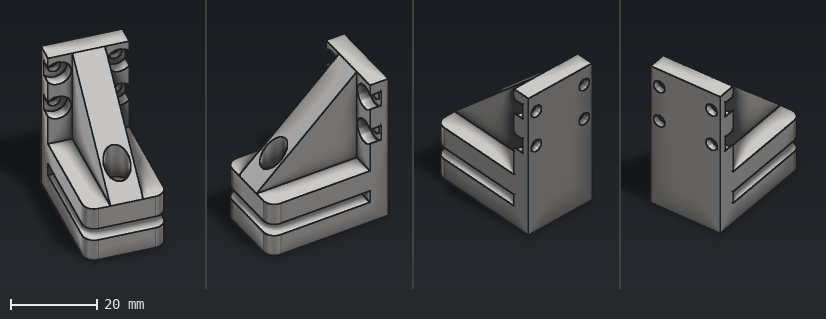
import cadquery as cq

length = 32.0
width = 20.0
height = 40.0

plate_thickness = 5.0
shelf_height = 15.0
slot_height = 3.3
arm_thickness = (shelf_height - slot_height) / 2
corner_radius = 3.0
rib_width = 8.0

clearance_diameter = 3.2
head_diameter = 6.4
thread_diameter = 2.5
head_depth = 3.0
plate_hole_spacing_y = 15.0
plate_hole_spacing_z = 10.0
plate_hole_center_z = 30.0
clamp_screw_x = 25.0


def block(x_start, x_end, block_width, z_start, z_end):
    """Box centred on the XZ plane, given by its X and Z limits."""
    return (
        cq.Workplane("XY", origin=((x_start + x_end) / 2, 0, z_start))
        .rect(x_end - x_start, block_width)
        .extrude(z_end - z_start)
    )


def plate_cutter(diameter, x_start):
    """Four cylinders from x_start to the inner face of the back plate."""
    return (
        cq.Workplane("YZ", origin=(x_start, 0, plate_hole_center_z))
        .rarray(plate_hole_spacing_y, plate_hole_spacing_z, 2, 2)
        .circle(diameter / 2)
        .extrude(plate_thickness - x_start)
    )


def clamp_cutter(diameter, z_start, z_end):
    """Vertical cylinder on the clamping screw axis."""
    return (
        cq.Workplane("XY", origin=(clamp_screw_x, 0, z_start))
        .circle(diameter / 2)
        .extrude(z_end - z_start)
    )


plate = block(0, plate_thickness, width, 0, height)
plate = plate.cut(plate_cutter(clearance_diameter, 0))
plate = plate.cut(plate_cutter(head_diameter, plate_thickness - head_depth))

shelf = block(0, length, width, 0, shelf_height).edges("|Z and >X").fillet(corner_radius)
slot_top = arm_thickness + slot_height
shelf = shelf.cut(block(plate_thickness, length, width, arm_thickness, slot_top))

rib = (
    cq.Workplane("XZ")
    .moveTo(plate_thickness, shelf_height)
    .lineTo(length, shelf_height)
    .lineTo(plate_thickness, height)
    .close()
    .extrude(rib_width / 2, both=True)
)

result = (
    plate.union(shelf)
    .union(rib)
    .cut(clamp_cutter(head_diameter, shelf_height, height))
    .cut(clamp_cutter(clearance_diameter, slot_top, shelf_height))
    .cut(clamp_cutter(thread_diameter, 0, arm_thickness))
)